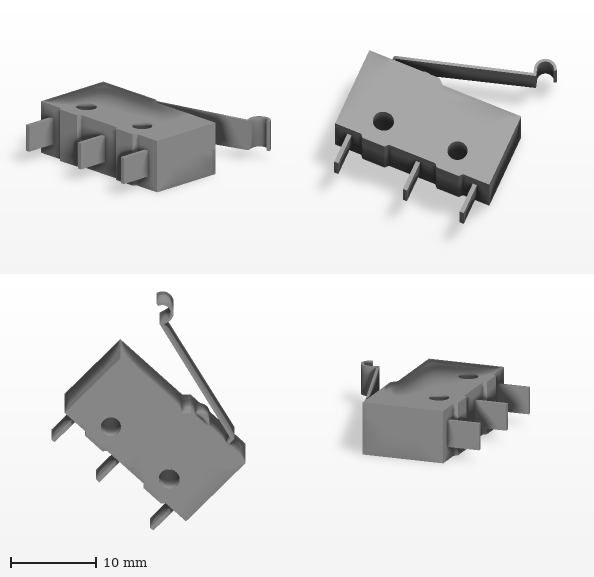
import cadquery as cq
import math

housing_length = 19.73
housing_depth = 10.16
housing_height = 6.4
step_start = 9.0
step_drop = 0.68

slot_x = 5.1
round_hole_x = 14.59
hole_y = 2.5
hole_diameter = 2.37
slot_length = 2.5
pad_base_width = 3.55
pad_face_width = 2.83
pad_rise = 0.42

terminal_centers = [1.85, 10.62, 17.9]
terminal_thickness = 0.53
terminal_reach = 3.92
terminal_width = 3.25

plunger_x = 7.05
plunger_radius = 1.18
plunger_rise = 0.7
plunger_width = 3.25

strip_thickness = 0.35
stem_x = 2.75
stem_width = 4.07
bend_y = 10.85
blade_angle = math.radians(16)
blade_length = 16.6
hook_width = 3.65
hook_arm = 0.99
hook_radius = 1.34


def extrude_centered(sketch, width):
    """Extrude a plan outline by width, centred on Z = 0."""
    return sketch.extrude(width / 2, both=True)


def make_block():
    outline = (
        cq.Workplane("XY")
        .lineTo(housing_length, 0)
        .lineTo(housing_length, housing_depth - step_drop)
        .lineTo(step_start + step_drop, housing_depth - step_drop)
        .lineTo(step_start, housing_depth)
        .lineTo(0, housing_depth)
        .close()
    )
    return extrude_centered(outline, housing_height)


def make_pad(center_x):
    outline = cq.Workplane("XY").polyline([
        (center_x - pad_base_width / 2, 0),
        (center_x - pad_face_width / 2, -pad_rise),
        (center_x + pad_face_width / 2, -pad_rise),
        (center_x + pad_base_width / 2, 0),
    ]).close()
    return extrude_centered(outline, housing_height)


def make_terminal(center_x):
    outline = cq.Workplane("XY").center(center_x, -terminal_reach / 2).rect(terminal_thickness, terminal_reach)
    return extrude_centered(outline, terminal_width)


def make_plunger():
    center_y = housing_depth + plunger_rise - plunger_radius
    outline = cq.Workplane("XY").center(plunger_x, center_y).circle(plunger_radius)
    return extrude_centered(outline, plunger_width)


def make_housing():
    body = make_block().union(make_plunger())
    for pad_x in (slot_x, round_hole_x):
        body = body.union(make_pad(pad_x))
    for terminal_x in terminal_centers:
        body = body.union(make_terminal(terminal_x))
    slot = cq.Workplane("XY").center(slot_x, hole_y).slot2D(slot_length, hole_diameter)
    round_hole = cq.Workplane("XY").center(round_hole_x, hole_y).circle(hole_diameter / 2)
    for hole in (slot, round_hole):
        body = body.cut(extrude_centered(hole, housing_height))
    return body


def blade_point(along, across):
    """Plan point measured along and across the blade from the inside of its lower bend."""
    return (
        stem_x + strip_thickness + along * math.cos(blade_angle) - across * math.sin(blade_angle),
        bend_y + along * math.sin(blade_angle) + across * math.cos(blade_angle),
    )


def make_stem_and_blade():
    outer_bend_y = bend_y + strip_thickness * (1 / math.cos(blade_angle) - math.tan(blade_angle))
    heel = blade_point(blade_length, 0)
    outline = cq.Workplane("XY").polyline([
        (stem_x, housing_depth),
        (stem_x, outer_bend_y),
        blade_point(blade_length, strip_thickness),
        heel,
        blade_point(0, 0),
        (stem_x + strip_thickness, housing_depth),
    ]).close()
    strip = extrude_centered(outline, stem_width)

    taper = cq.Workplane("XZ").polyline([
        (stem_x, -stem_width / 2),
        (stem_x + strip_thickness, -stem_width / 2),
        (heel[0], -hook_width / 2),
        (heel[0], hook_width / 2),
        (stem_x + strip_thickness, stem_width / 2),
        (stem_x, stem_width / 2),
    ]).close().extrude(-(housing_depth + blade_length))
    return strip.intersect(taper)


def make_hook():
    inner_radius = hook_radius - strip_thickness
    center_along = blade_length + inner_radius
    outline = (
        cq.Workplane("XY")
        .moveTo(*blade_point(blade_length, 0))
        .lineTo(*blade_point(blade_length, hook_arm))
        .threePointArc(
            blade_point(center_along, hook_arm + inner_radius),
            blade_point(center_along + inner_radius, hook_arm),
        )
        .lineTo(*blade_point(center_along + hook_radius, hook_arm))
        .threePointArc(
            blade_point(center_along, hook_arm + hook_radius),
            blade_point(center_along - hook_radius, hook_arm),
        )
        .lineTo(*blade_point(center_along - hook_radius, 0))
        .close()
    )
    return extrude_centered(outline, hook_width)


housing = make_housing()
lever = make_stem_and_blade().union(make_hook())

result = cq.Compound.makeCompound([housing.solids().val(), lever.solids().val()])